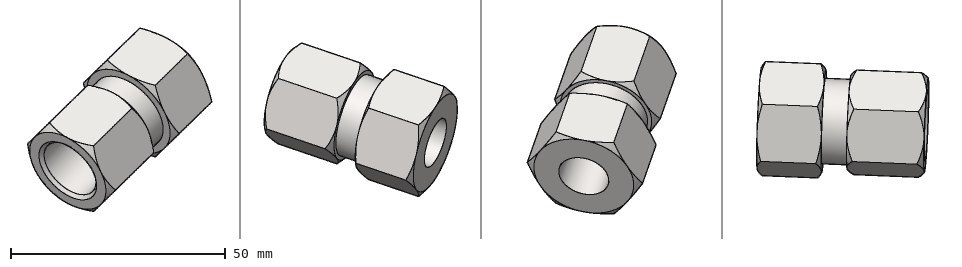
import cadquery as cq
import math

body_across_flats = 22.0
body_length = 18.0
body_chamfer_angle = 41.0

neck_diameter = 20.0
neck_length = 5.9

nut_across_flats = 24.0
nut_length = 15.0
nut_chamfer_angle = 30.0

through_diameter = 12.0
socket_diameter = 14.95
socket_depth = 12.0
socket_mouth_diameter = 16.66
socket_mouth_angle = 45.0

body_start = 0.0
neck_start = body_start + body_length
nut_start = neck_start + neck_length
nut_end = nut_start + nut_length


def revolve_profile(points):
    """Revolve a closed (radius, y) outline around the Y axis."""
    return cq.Workplane("XY").polyline(points).close().revolve(360, (0, 0, 0), (0, 1, 0))


def cylinder(diameter, start, length):
    """Round bar along +Y beginning at y = start."""
    return cq.Workplane("XZ", origin=(0, start, 0)).circle(diameter / 2).extrude(-length)


def chamfered_hexagon(across_flats, start, length, chamfer_angle):
    """Hexagonal bar along +Y, flats facing +/-Z, each end face a circle touching the flats."""
    corner_radius = across_flats / math.sqrt(3)
    face_radius = across_flats / 2
    chamfer_depth = (corner_radius - face_radius) * math.tan(math.radians(chamfer_angle))
    end = start + length
    hexagon = (
        cq.Workplane("XZ", origin=(0, start, 0))
        .polygon(6, 2 * corner_radius)
        .extrude(-length)
    )
    turned_envelope = revolve_profile([
        (0, start),
        (face_radius, start),
        (corner_radius, start + chamfer_depth),
        (corner_radius, end - chamfer_depth),
        (face_radius, end),
        (0, end),
    ])
    return hexagon.intersect(turned_envelope)


def stepped_bore():
    """Through hole, wider socket from the -Y face, and the cone at the socket mouth."""
    through_radius = through_diameter / 2
    socket_radius = socket_diameter / 2
    mouth_radius = socket_mouth_diameter / 2
    mouth_depth = (mouth_radius - socket_radius) / math.tan(math.radians(socket_mouth_angle))
    return revolve_profile([
        (0, body_start),
        (mouth_radius, body_start),
        (socket_radius, body_start + mouth_depth),
        (socket_radius, body_start + socket_depth),
        (through_radius, body_start + socket_depth),
        (through_radius, nut_end),
        (0, nut_end),
    ])


body = chamfered_hexagon(
    body_across_flats, body_start, body_length, body_chamfer_angle
)
neck = cylinder(neck_diameter, neck_start, neck_length)
nut = chamfered_hexagon(
    nut_across_flats, nut_start, nut_length, nut_chamfer_angle
)

result = body.union(neck).union(nut).cut(stepped_bore())